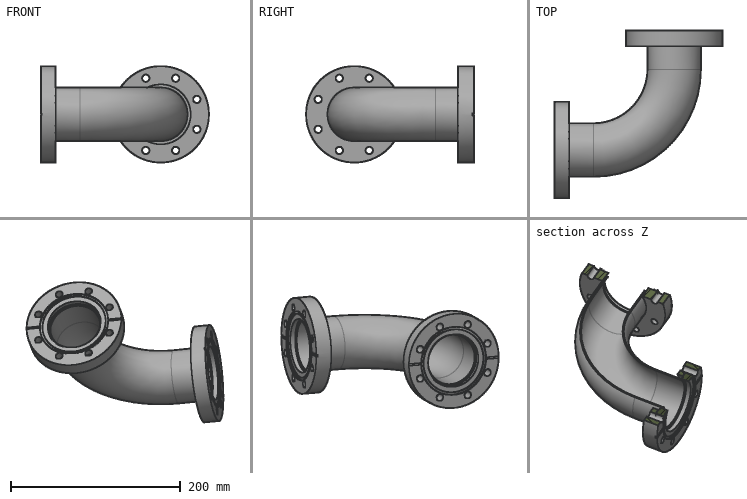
import cadquery as cq
import math


overall_size = 198.3
flange_diameter = 114.0
axis_offset = overall_size - flange_diameter / 2
bend_start = 46.0
bend_radius = axis_offset - bend_start

fixed_flange_thickness = 17.5
ring_thickness = 19.0
bolt_hole_count = 8
bolt_hole_diameter = 8.3
bolt_circle_diameter = 92.2

seal_diameter = 82.0
seal_depth = 1.8
knife_tip_diameter = 76.0
knife_tip_depth = 0.5

round_groove_radius = 1.2
round_groove_depth = 0.8
square_groove_width = 2.4
square_groove_depth = 2.0

pipe_outer_diameter = 63.5
pipe_inner_diameter = 59.7
port_diameter = pipe_outer_diameter
port_depth = 7.7
lip_thickness = 1.5
pipe_end_depth = port_depth + lip_thickness

ring_bore_diameter = 70.8
ring_lip_thickness = 7.5
insert_thickness = ring_thickness - ring_lip_thickness

fixed_frame = cq.Plane(origin=(0, 0, 0), xDir=(0, 1, 0), normal=(1, 0, 0))
rotatable_frame = cq.Plane(origin=(axis_offset, axis_offset, 0), xDir=(1, 0, 0), normal=(0, -1, 0))


def place(body, frame):
    """Move a body from local flange coordinates into its frame."""
    return body.val().moved(cq.Location(frame))


def disc(diameter, start_depth, end_depth):
    """Cylinder about the flange axis between two depths."""
    return (
        cq.Workplane("XY")
        .workplane(offset=start_depth)
        .circle(diameter / 2)
        .extrude(end_depth - start_depth)
    )


def bolt_holes(thickness):
    """Evenly spaced through holes that straddle the groove line."""
    half_pitch = 180 / bolt_hole_count
    return (
        cq.Workplane("XY")
        .polarArray(bolt_circle_diameter / 2, half_pitch, 360, bolt_hole_count)
        .circle(bolt_hole_diameter / 2)
        .extrude(thickness)
    )


def knife_edge_recess():
    """Sealing recess whose floor rises to a sharp ring, then drops again inside it."""
    seal_radius = seal_diameter / 2
    knife_radius = knife_tip_diameter / 2
    return (
        cq.Workplane("XZ")
        .moveTo(0, 0)
        .lineTo(seal_radius, 0)
        .lineTo(seal_radius, seal_depth)
        .lineTo(knife_radius, knife_tip_depth)
        .lineTo(knife_radius, seal_depth)
        .lineTo(0, seal_depth)
        .close()
        .revolve(360, (0, 0, 0), (0, 1, 0))
    )


def pipe_socket(thickness):
    """Front port, narrower lip, and the seat for the pipe end at the back."""
    port = disc(port_diameter, 0, port_depth)
    lip = disc(pipe_inner_diameter, port_depth, pipe_end_depth)
    seat = disc(pipe_outer_diameter, pipe_end_depth, thickness)
    return port.union(lip).union(seat)


def round_groove():
    """Shallow round-bottomed groove across the whole face."""
    return (
        cq.Workplane("YZ")
        .workplane(offset=-flange_diameter / 2)
        .center(0, round_groove_depth - round_groove_radius)
        .circle(round_groove_radius)
        .extrude(flange_diameter)
    )


def square_groove():
    """Square groove across the whole face."""
    return cq.Workplane("XY").rect(flange_diameter, square_groove_width).extrude(square_groove_depth)


def make_fixed_flange():
    body = disc(flange_diameter, 0, fixed_flange_thickness)
    body = body.cut(bolt_holes(fixed_flange_thickness))
    body = body.cut(round_groove().cut(disc(seal_diameter, 0, seal_depth)))
    body = body.cut(knife_edge_recess())
    body = body.cut(pipe_socket(fixed_flange_thickness))
    return place(body, fixed_frame)


def make_rotatable_ring():
    body = disc(flange_diameter, 0, ring_thickness)
    body = body.cut(bolt_holes(ring_thickness))
    body = body.cut(square_groove())
    body = body.cut(disc(seal_diameter, 0, insert_thickness))
    body = body.cut(disc(ring_bore_diameter, insert_thickness, ring_thickness))
    return place(body, rotatable_frame)


def make_sealing_insert():
    body = disc(seal_diameter, 0, insert_thickness)
    body = body.cut(knife_edge_recess())
    body = body.cut(pipe_socket(insert_thickness))
    return place(body, rotatable_frame)


def make_elbow_pipe():
    """Tube with a straight end in each flange and a quarter bend between them."""
    half_bend = math.radians(45)
    arc_middle = (
        bend_start + bend_radius * math.sin(half_bend),
        bend_radius * (1 - math.cos(half_bend)),
    )
    centreline = (
        cq.Workplane("XY")
        .moveTo(pipe_end_depth, 0)
        .lineTo(bend_start, 0)
        .threePointArc(arc_middle, (axis_offset, bend_radius))
        .lineTo(axis_offset, axis_offset - pipe_end_depth)
    )
    return (
        cq.Workplane("YZ", origin=(pipe_end_depth, 0, 0))
        .circle(pipe_outer_diameter / 2)
        .circle(pipe_inner_diameter / 2)
        .sweep(centreline)
        .val()
    )


fixed_flange = make_fixed_flange()
rotatable_ring = make_rotatable_ring()
sealing_insert = make_sealing_insert()
elbow_pipe = make_elbow_pipe()

result = cq.Compound.makeCompound([fixed_flange, rotatable_ring, sealing_insert, elbow_pipe])